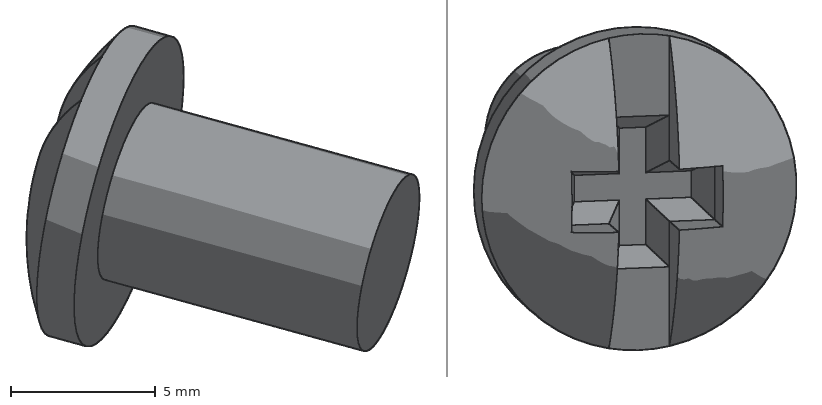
import cadquery as cq
import math

total_length = 12.58
head_diameter = 11.12
shank_diameter = 6.34
rim_start = 1.67
rim_thickness = 1.37
dome_radius = 9.5
slot_width = 2.14
cross_span = 5.33
cross_taper_depth = 1.12
cross_taper_inset = 0.6

land_corner_radius = slot_width / math.sqrt(2)
dome_center_x = math.sqrt(dome_radius**2 - land_corner_radius**2)
dome_apex_x = dome_center_x - dome_radius
head_radius = head_diameter / 2
rim_end = rim_start + rim_thickness


def make_body():
    """Domed head and cylindrical shank, revolved about X."""
    arc_angle = math.asin(head_radius / dome_radius) / 2
    arc_middle = (
        dome_center_x - dome_radius * math.cos(arc_angle),
        dome_radius * math.sin(arc_angle),
    )
    return (
        cq.Workplane("XY")
        .moveTo(dome_apex_x, 0)
        .threePointArc(arc_middle, (rim_start, head_radius))
        .lineTo(rim_end, head_radius)
        .lineTo(rim_end, shank_diameter / 2)
        .lineTo(total_length, shank_diameter / 2)
        .lineTo(total_length, 0)
        .close()
        .revolve(360, (0, 0, 0), (1, 0, 0))
    )


def make_slot():
    """Straight slot along Z, cut down to the front of the rim."""
    slot_depth = rim_start - dome_apex_x
    return (
        cq.Workplane("XY")
        .box(slot_depth, slot_width, head_diameter, centered=(False, True, True))
        .translate((dome_apex_x, 0, 0))
    )


def cross_outline(x, inset):
    """Plus-shaped outline at the given X, shrunk inward by inset."""
    arm = cross_span / 2 - inset
    half = slot_width / 2 - inset
    points = [
        (arm, -half), (arm, half), (half, half), (half, arm),
        (-half, arm), (-half, half), (-arm, half), (-arm, -half),
        (-half, -half), (-half, -arm), (half, -arm), (half, -half),
    ]
    return cq.Workplane("YZ", origin=(x, 0, 0)).polyline(points).close()


def make_cross():
    """Cross recess: straight walls to the slot floor, then a tapered bottom."""
    straight = cross_outline(dome_apex_x, 0).extrude(rim_start - dome_apex_x)
    top_wire = cross_outline(rim_start, 0).val()
    bottom_wire = cross_outline(rim_start + cross_taper_depth, cross_taper_inset).val()
    tapered = cq.Solid.makeLoft([top_wire, bottom_wire], True)
    return straight.union(cq.Workplane(tapered))


result = make_body().cut(make_slot()).cut(make_cross())